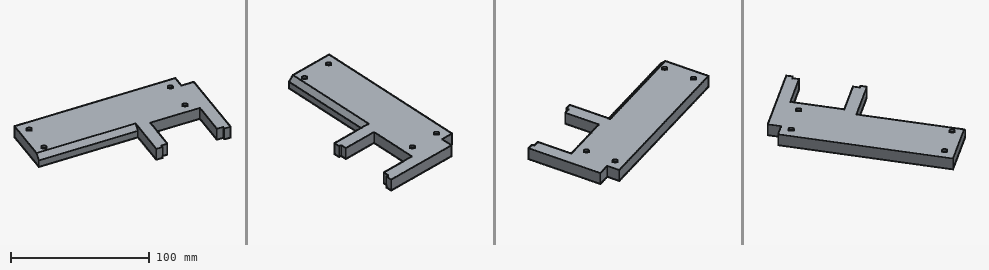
import cadquery as cq

thickness = 10.0

plate_width = 40.0
plate_length = 130.0

arm_width = 10.0
arm_tip_x = 70.0
tip_step = 2.0
arm_half = arm_width / 2
rear_arm_start_x = 10.0
rear_arm_y = plate_length
front_arm_start_x = plate_width
front_arm_y = 80.0

bevel = 4.0

hole_diameter = 4.0
bore_depth = 2.0
cone_depth = 2.5
hole_inset = 8.0
rear_hole_y = plate_length - hole_inset


def block(x_start, x_end, y_start, y_end):
    """Full-thickness rectangular block standing on Z = 0."""
    return cq.Workplane("XY").box(
        x_end - x_start, y_end - y_start, thickness, centered=False
    ).translate((x_start, y_start, 0))


def arm(x_start, outer_y, inner_y):
    """Arm whose outer half is longer than its inner half."""
    outer_half = block(x_start, arm_tip_x, outer_y, outer_y + arm_half)
    inner_half = block(x_start, arm_tip_x - tip_step, inner_y, inner_y + arm_half)
    return outer_half.union(inner_half)


def edge_bevel():
    """Triangular bar removed from the top right edge of the plate."""
    return (
        cq.Workplane("XZ")
        .moveTo(plate_width - bevel, thickness)
        .lineTo(plate_width, thickness)
        .lineTo(plate_width, thickness - bevel)
        .close()
        .extrude(-front_arm_y)
    )


def pointed_hole(x, y):
    """Solid of a blind hole: a straight bore ending in a cone, point down."""
    down = cq.Vector(0, 0, -1)
    radius = hole_diameter / 2
    mouth = cq.Vector(x, y, thickness)
    bore = cq.Solid.makeCylinder(radius, bore_depth, mouth, down)
    cone = cq.Solid.makeCone(radius, 0, cone_depth, mouth + down * bore_depth, down)
    return cq.Workplane(obj=bore).union(cq.Workplane(obj=cone))


result = block(0, plate_width, 0, plate_length).cut(edge_bevel())

result = result.union(arm(rear_arm_start_x, rear_arm_y + arm_half, rear_arm_y))
result = result.union(arm(front_arm_start_x, front_arm_y, front_arm_y + arm_half))

for hole_x in (hole_inset, plate_width - hole_inset):
    for hole_y in (hole_inset, rear_hole_y):
        result = result.cut(pointed_hole(hole_x, hole_y))